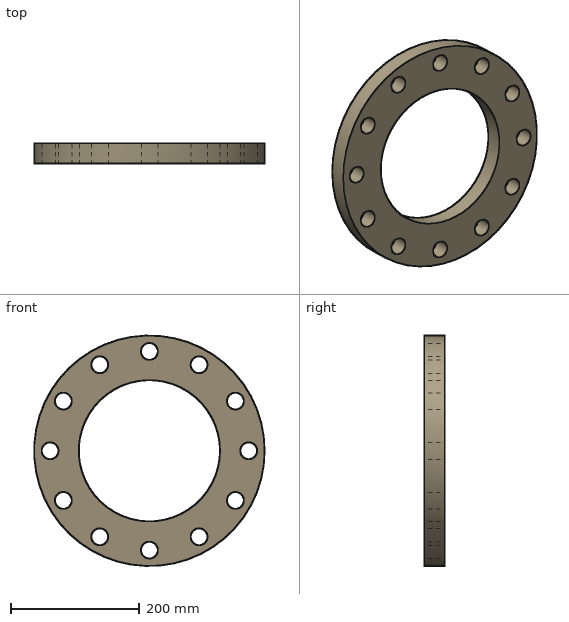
import cadquery as cq

outer_diameter = 360.0
bore_diameter = 220.0
thickness = 32.0

bolt_circle_diameter = 310.0
bolt_hole_diameter = 26.0
bolt_hole_count = 12


def make_ring():
    """Disc with a central bore, its back face on the XZ plane."""
    return (
        cq.Workplane("XZ")
        .circle(outer_diameter / 2)
        .circle(bore_diameter / 2)
        .extrude(thickness)
    )


def make_bolt_holes():
    """Cylinders to cut through the full thickness of the ring."""
    return (
        cq.Workplane("XZ")
        .polarArray(bolt_circle_diameter / 2, 0, 360, bolt_hole_count)
        .circle(bolt_hole_diameter / 2)
        .extrude(thickness)
    )


result = make_ring().cut(make_bolt_holes())